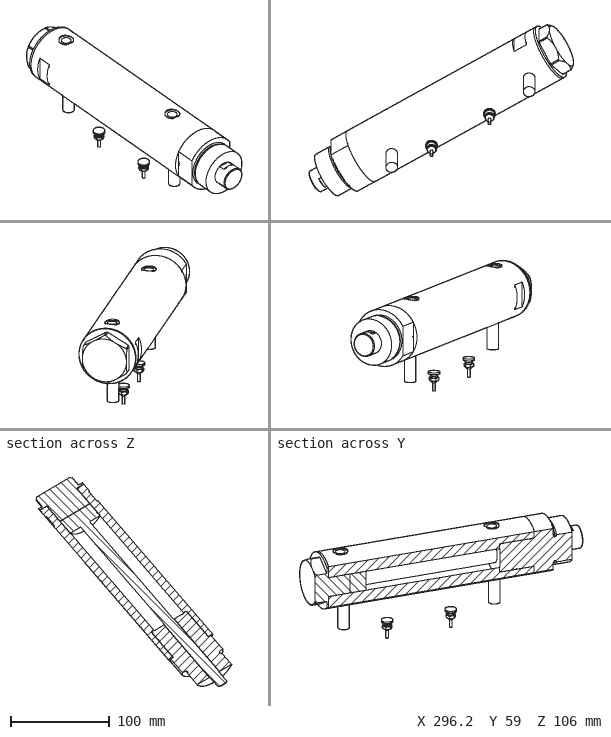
import cadquery as cq
import math


overall_height = 106.0
tube_radius = 59.0 / 2
bore_radius = 21.0
tube_start = 14.8
tube_end = 240.2

tube_flat_start = 25.2
tube_flat_length = 14.8
tube_flat_gap = 53.0

port_places = [35.2, 200.8]
port_radius = 9.8 / 2
spotface_radius = 15.0 / 2
spotface_floor = 28.0

leg_places = [38.8, 203.8]
leg_radius = 6.0
leg_bottom = -57.0

hex_length = 12.7
hex_across_flats = 45.5
hex_corner_radius = 51.8 / 2
hex_chamfer = 3.0
cap_spigot_end = 38.5

head_flat_end = 261.0
head_flat_gap = 50.5
neck_end = 281.5
neck_radius = 24.0
groove_width = 3.5
groove_depth = 1.2
head_spigot_start = 202.0
head_spigot_radius = neck_radius

rod_radius = 24.0 / 2
rod_end = 296.2
rod_chamfer = 1.0
rod_flat_length = 6.5
rod_flat_gap = 21.0
piston_length = 17.8

plug_places = [86.5, 156.0]
plug_top = -56.5
plug_bottom = tube_radius - overall_height
plug_head_radius = 6.0
plug_head_height = 2.0
plug_shoulder_radius = 5.0
plug_neck_radius = 3.5
plug_neck_top = 4.0
plug_hex_across_flats = 9.0
plug_hex_turn = 8
plug_hex_chamfer = 1.0
plug_hex_top = 5.5
plug_hex_bottom = 9.2
plug_cone_radius = 4.0
plug_cone_bottom = 11.5
plug_pin_radius = 1.5


def rod_along_x(radius, start, end):
    """Solid cylinder on the X axis between two places."""
    return cq.Workplane("YZ", origin=(start, 0, 0)).circle(radius).extrude(end - start)


def rod_along_z(radius, x, bottom, top):
    """Solid vertical cylinder at a place along X."""
    return cq.Workplane("XY", origin=(x, 0, bottom)).circle(radius).extrude(top - bottom)


def corner_radius(across_flats):
    """Distance from the centre of a hexagon to its corners."""
    return across_flats / 2 / math.cos(math.radians(30))


def slab_between_flats(start, length, gap, upright):
    """Slab that leaves two parallel flats, facing Y when upright and Z when not."""
    wide = 3 * tube_radius
    size_y = gap if upright else wide
    size_z = wide if upright else gap
    return cq.Workplane("XY").box(length, size_y, size_z).translate((start + length / 2, 0, 0))


def with_flats(body, start, length, gap, upright):
    """Cut a pair of opposite flats into one stretch of a round body."""
    stretch = rod_along_x(2 * tube_radius, start, start + length)
    return body.cut(stretch.cut(slab_between_flats(start, length, gap, upright)))


def make_tube():
    """Tube with its ports, flats and legs, bored for the piston and recessed for the head."""
    tube = rod_along_x(tube_radius, tube_start, tube_end)
    tube = with_flats(tube, tube_flat_start, tube_flat_length, tube_flat_gap, True)
    for x in leg_places:
        tube = tube.union(rod_along_z(leg_radius, x, leg_bottom, -bore_radius))
    cut_top = tube_radius + spotface_radius
    for x in port_places:
        tube = tube.cut(rod_along_z(spotface_radius, x, spotface_floor, cut_top))
        tube = tube.cut(rod_along_z(port_radius, x, 0, cut_top))
    head_recess = rod_along_x(head_spigot_radius, head_spigot_start, tube_end)
    return tube.cut(rod_along_x(bore_radius, tube_start, tube_end)).cut(head_recess)


def make_cap():
    """Hex end cap whose spigot fills the bore at the closed end."""
    hexagon = cq.Workplane("YZ").polygon(6, 2 * corner_radius(hex_across_flats)).extrude(hex_length)
    hexagon = hexagon.rotate((0, 0, 0), (1, 0, 0), 90)
    corner_round = rod_along_x(hex_corner_radius, 0, hex_length).faces("<X").chamfer(hex_chamfer)
    flange = rod_along_x(tube_radius, hex_length, tube_start)
    spigot = rod_along_x(bore_radius, tube_start, cap_spigot_end)
    return hexagon.intersect(corner_round).union(flange).union(spigot)


def make_neck_groove():
    """Ring cut out of the neck beside the head, with 45 degree walls."""
    groove_end = head_flat_end + groove_width
    floor_radius = neck_radius - groove_depth
    section = [
        (head_flat_end, neck_radius),
        (head_flat_end + groove_depth, floor_radius),
        (groove_end - groove_depth, floor_radius),
        (groove_end, neck_radius),
    ]
    return cq.Workplane("XY").polyline(section).close().revolve(360, (0, 0, 0), (1, 0, 0))


def make_head():
    """Head with wrench flats and a neck, bored for the piston rod."""
    head = rod_along_x(tube_radius, tube_end, head_flat_end)
    head = with_flats(head, tube_end, head_flat_end - tube_end, head_flat_gap, True)
    neck = rod_along_x(neck_radius, head_flat_end, neck_end).cut(make_neck_groove())
    spigot = rod_along_x(head_spigot_radius, head_spigot_start, tube_end)
    head = head.union(neck).union(spigot)
    return head.cut(rod_along_x(rod_radius, head_spigot_start, neck_end))


def make_piston_rod():
    """Rod with its piston drawn back against the cap spigot."""
    rod = rod_along_x(rod_radius, cap_spigot_end, rod_end).faces(">X").chamfer(rod_chamfer)
    rod = with_flats(rod, neck_end, rod_flat_length, rod_flat_gap, False)
    return rod.union(rod_along_x(bore_radius, cap_spigot_end, cap_spigot_end + piston_length))


def make_plug_hex():
    """Hexagon collar of a plug, with its corners chamfered at both ends."""
    radius = corner_radius(plug_hex_across_flats)
    height = plug_hex_bottom - plug_hex_top
    hexagon = cq.Workplane("XY").polygon(6, 2 * radius).extrude(height)
    hexagon = hexagon.rotate((0, 0, 0), (0, 0, 1), -plug_hex_turn)
    corner_round = rod_along_z(radius, 0, 0, height).edges("%CIRCLE").chamfer(plug_hex_chamfer)
    return hexagon.intersect(corner_round).translate((0, 0, -plug_hex_bottom))


def make_plug(x):
    """Plug at a place along X, turned about its own vertical axis."""
    profile = [
        (0, 0),
        (plug_head_radius, 0),
        (plug_head_radius, plug_head_height),
        (plug_shoulder_radius, plug_head_height),
        (plug_neck_radius, plug_neck_top),
        (plug_neck_radius, plug_hex_bottom),
        (plug_cone_radius, plug_hex_bottom),
        (plug_pin_radius, plug_cone_bottom),
        (plug_pin_radius, plug_top - plug_bottom),
        (0, plug_top - plug_bottom),
    ]
    outline = [(radius, -depth) for radius, depth in profile]
    plug = cq.Workplane("XZ").polyline(outline).close().revolve(360, (0, 0, 0), (0, 1, 0))
    return plug.union(make_plug_hex()).translate((x, 0, plug_top))


tube = make_tube()
cap = make_cap()
head = make_head()
piston_rod = make_piston_rod()
plugs = [make_plug(x).val() for x in plug_places]

result = cq.Compound.makeCompound([tube.val(), cap.val(), head.val(), piston_rod.val(), *plugs])